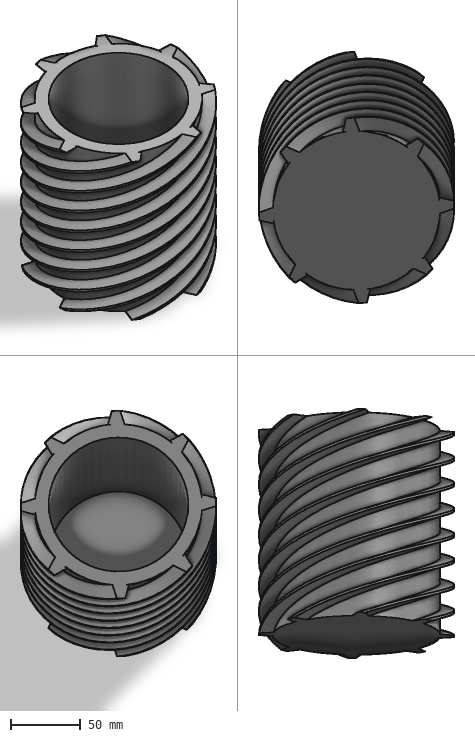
import cadquery as cq
import math

length = 150.0
outer_radius = 70.0
root_radius = 60.0
bore_diameter = 100.0
floor_thickness = 10.0
thread_starts = 8
twist_angle = 360.0
tooth_root_width = 12.0
tooth_tip_width = 6.0

start_pitch = 2 * math.pi / thread_starts
root_half_angle = math.asin(tooth_root_width / 2 / root_radius)
tip_half_angle = math.asin(tooth_tip_width / 2 / outer_radius)


def polar(radius, angle):
    return radius * math.cos(angle), radius * math.sin(angle)


def toothed_outline():
    """Cross-section: a root circle carrying evenly spaced tapered teeth."""
    outline = cq.Workplane("XY").moveTo(*polar(root_radius, -root_half_angle))
    for start in range(thread_starts):
        center = start * start_pitch
        next_center = center + start_pitch
        outline = outline.lineTo(*polar(outer_radius, center - tip_half_angle))
        outline = outline.threePointArc(
            polar(outer_radius, center), polar(outer_radius, center + tip_half_angle)
        )
        outline = outline.lineTo(*polar(root_radius, center + root_half_angle))
        outline = outline.threePointArc(
            polar(root_radius, center + start_pitch / 2),
            polar(root_radius, next_center - root_half_angle),
        )
    return outline.close()


body = toothed_outline().twistExtrude(length, twist_angle)

bore = (
    cq.Workplane("XY")
    .workplane(offset=floor_thickness)
    .circle(bore_diameter / 2)
    .extrude(length - floor_thickness)
)

result = body.cut(bore)